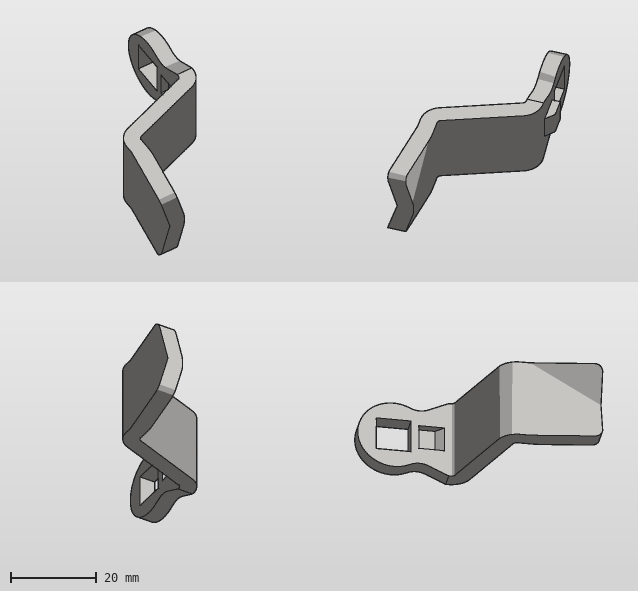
import cadquery as cq
import math

length = 53.5
width = 19.5
thickness = 4.0
half_width = width / 2

inner_bend_radius = 1.0
outer_bend_radius = inner_bend_radius + thickness
upper_bend_x = 21.95
lower_bend_x = 34.5
wing_back_y = -22.0
wing_front_y = wing_back_y - thickness

eye_radius = 8.5
eye_x = eye_radius
square_hole = 8.2
neck_radius = 5.0
neck_x = 14.6
flare_end_x = 21.5

lug_start_x = 14.45
lug_end_x = 20.55
lug_width = 6.1
lug_height = 2.0
lug_round = 1.4

corner_radius = 2.0
fold_start_x = 36.65
fold_back_start_x = 38.95
fold_drop = 2.7


def plate_between(outline, y_low, y_high):
    """Extrude an XZ outline between two Y levels."""
    return outline(cq.Workplane("XZ", origin=(0, y_high, 0))).extrude(y_high - y_low)


def bent_strip():
    """Z-shaped strip with concentric inner and outer bend faces."""
    upper_y = -outer_bend_radius
    lower_y = wing_front_y + outer_bend_radius
    run = lower_bend_x - upper_bend_x
    fall = upper_y - lower_y
    tangent_turn = math.asin((inner_bend_radius + outer_bend_radius) / math.hypot(run, fall))
    bend_angle = math.pi / 2 - (math.atan2(run, fall) - tangent_turn)

    def upper(radius, angle):
        return (upper_bend_x + radius * math.sin(angle), upper_y + radius * math.cos(angle))

    def lower(radius, angle):
        return (lower_bend_x - radius * math.sin(angle), lower_y - radius * math.cos(angle))

    middle = bend_angle / 2
    return (
        cq.Workplane("XY", origin=(0, 0, -half_width))
        .moveTo(0, 0)
        .lineTo(upper_bend_x, 0)
        .threePointArc(upper(outer_bend_radius, middle), upper(outer_bend_radius, bend_angle))
        .lineTo(*lower(inner_bend_radius, bend_angle))
        .threePointArc(lower(inner_bend_radius, middle), lower(inner_bend_radius, 0))
        .lineTo(length, wing_back_y)
        .lineTo(length, wing_front_y)
        .lineTo(lower_bend_x, wing_front_y)
        .threePointArc(lower(outer_bend_radius, middle), lower(outer_bend_radius, bend_angle))
        .lineTo(*upper(inner_bend_radius, bend_angle))
        .threePointArc(upper(inner_bend_radius, middle), upper(inner_bend_radius, 0))
        .lineTo(0, -thickness)
        .close()
        .extrude(width)
    )


def eye_outline(workplane):
    """Round eye, concave necks and straight flares out to the full width."""
    eye_to_neck = eye_radius + neck_radius
    neck_z = math.sqrt(eye_to_neck**2 - (neck_x - eye_x) ** 2)
    eye_share = eye_radius / eye_to_neck
    eye_end = (eye_x + (neck_x - eye_x) * eye_share, neck_z * eye_share)

    to_flare_x = flare_end_x - neck_x
    to_flare_z = half_width - neck_z
    flare_direction = math.atan2(to_flare_z, to_flare_x)
    tangent_angle = flare_direction - math.acos(neck_radius / math.hypot(to_flare_x, to_flare_z))
    neck_end = (
        neck_x + neck_radius * math.cos(tangent_angle),
        neck_z + neck_radius * math.sin(tangent_angle),
    )
    neck_bottom = (neck_x, neck_z - neck_radius)

    def mirrored(point):
        return (point[0], -point[1])

    return (
        workplane.moveTo(*eye_end)
        .threePointArc(neck_bottom, neck_end)
        .lineTo(flare_end_x, half_width)
        .lineTo(length, half_width)
        .lineTo(length, -half_width)
        .lineTo(flare_end_x, -half_width)
        .lineTo(*mirrored(neck_end))
        .threePointArc(mirrored(neck_bottom), mirrored(eye_end))
        .threePointArc((eye_x - eye_radius, 0), eye_end)
        .close()
    )


def lug_profile(base_y):
    """Lug shape standing on base_y, with a 45 degree ramp on its +X end."""
    return (
        cq.Workplane("XY", origin=(0, base_y, -lug_width / 2))
        .moveTo(lug_start_x, 0)
        .lineTo(lug_start_x, lug_height)
        .lineTo(lug_end_x - lug_height, lug_height)
        .lineTo(lug_end_x, 0)
        .close()
        .extrude(lug_width)
    )


def lug():
    ramp_top = cq.selectors.NearestToPointSelector((lug_end_x - lug_height, lug_height, 0))
    return lug_profile(0).edges("|Z").edges(ramp_top).fillet(lug_round)


def folded_corner(side):
    """Wing corner bent towards -Y about a slanted crease; side is +1 or -1 along Z."""
    crease_run = length - fold_start_x
    back_shift = (fold_back_start_x - fold_start_x) / crease_run

    def wedge(face_y, shift):
        """Tetrahedron between a flat face and the folded face below it."""
        corner = cq.Vector(length, face_y, side * half_width)
        along_x = cq.Vector(length - crease_run * (1 - shift), face_y, side * half_width)
        along_z = cq.Vector(length, face_y, side * half_width * shift)
        bottom = cq.Vector(length, face_y - fold_drop * (1 - shift), side * half_width)
        triangles = [
            (corner, along_x, along_z),
            (corner, along_x, bottom),
            (corner, along_z, bottom),
            (along_x, along_z, bottom),
        ]
        faces = [cq.Face.makeFromWires(cq.Wire.makePolygon(t, close=True)) for t in triangles]
        return cq.Workplane(cq.Solid.makeSolid(cq.Shell.makeShell(faces)))

    return wedge(wing_front_y, 0), wedge(wing_back_y, back_shift)


def back_crease_selector(side):
    """Pick the back crease by its middle point."""
    fraction_left = (length - fold_back_start_x) / (length - fold_start_x)
    tip_z = half_width * (1 - fraction_left)
    middle = ((fold_back_start_x + length) / 2, wing_back_y, side * (half_width + tip_z) / 2)
    return cq.selectors.NearestToPointSelector(middle)


def wing_outline(workplane):
    """Full-length rectangle, rounded at the two wing corners."""
    corner_x = length - corner_radius
    corner_z = half_width - corner_radius
    diagonal = corner_radius * math.sqrt(0.5)
    return (
        workplane.moveTo(0, -half_width)
        .lineTo(corner_x, -half_width)
        .threePointArc((corner_x + diagonal, -corner_z - diagonal), (length, -corner_z))
        .lineTo(length, corner_z)
        .threePointArc((corner_x + diagonal, corner_z + diagonal), (corner_x, half_width))
        .lineTo(0, half_width)
        .close()
    )


def hole_outline(workplane):
    return workplane.center(eye_x, 0).rect(square_hole, square_hole)


body = bent_strip()

for side in (1, -1):
    added, removed = folded_corner(side)
    body = body.union(added).cut(removed)
    body = body.edges(back_crease_selector(side)).fillet(outer_bend_radius)

lowest_y = wing_front_y - fold_drop
body = body.intersect(plate_between(eye_outline, lowest_y, 0))
body = body.intersect(plate_between(wing_outline, lowest_y, 0))

body = body.cut(plate_between(hole_outline, -thickness, 0))
body = body.cut(lug_profile(-thickness))
result = body.union(lug())